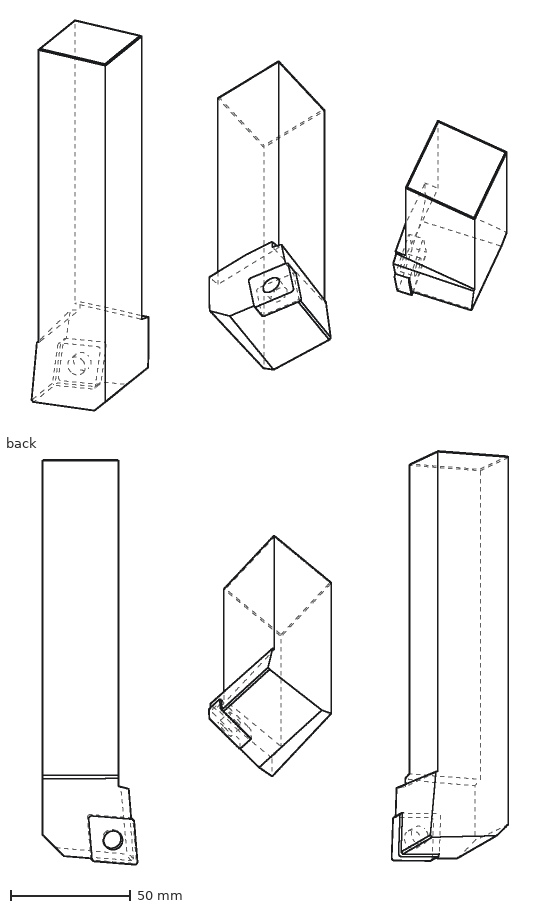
import cadquery as cq
import math

SHANK = 32.0
TOOL_LENGTH = 169.942
END_CHAMFER = 0.5

HEAD_HEIGHT = 38.0
HEAD_RELIEF = 1.15
NOSE_FLAT = 1.2
HEEL_CHAMFER = 12.6
BACK_STEP_Z = 37.6
SIDE_STEP_Z = 33.0
STEP_SLOPE = 15.0

INSCRIBED_CIRCLE = 19.05
INSERT_THICKNESS = 6.35
NOSE_ANGLE = 80.0
NOSE_RADIUS = 1.2
INSERT_HOLE = 7.93
RAKE = 6.0

NOSE_TRIM = NOSE_RADIUS * (math.sqrt(0.5) / math.sin(math.radians(NOSE_ANGLE / 2)) - 1)
INSERT_OVERHANG = 39.932

HALF_ANGLE = math.radians(NOSE_ANGLE / 2)
RAKE_SLOPE = math.tan(math.radians(RAKE))
BEYOND = 100.0

rake_plane = cq.Plane(
    origin=(-INSERT_OVERHANG - NOSE_TRIM, SHANK, -NOSE_TRIM),
    xDir=(1, 2 * RAKE_SLOPE, 1),
    normal=(-RAKE_SLOPE, 1, -RAKE_SLOPE),
)


def box(x_range, y_range, z_range):
    """Axis-aligned block between the given limits."""
    corner = (x_range[0], y_range[0], z_range[0])
    size = [limits[1] - limits[0] for limits in (x_range, y_range, z_range)]
    return cq.Workplane("XY").box(*size, centered=False).translate(corner)


def insert_blank():
    """Rhombic plate with rounded corners, its rake face in the rake plane."""
    side = INSCRIBED_CIRCLE / math.sin(2 * HALF_ANGLE)
    half_long = side * math.cos(HALF_ANGLE)
    half_short = side * math.sin(HALF_ANGLE)
    outline = [(0, 0), (half_long, half_short), (2 * half_long, 0), (half_long, -half_short)]
    plate = cq.Workplane(rake_plane).polyline(outline).close().extrude(-INSERT_THICKNESS)
    corner_edges = cq.selectors.ParallelDirSelector(rake_plane.zDir)
    return plate.edges(corner_edges).fillet(NOSE_RADIUS)


def make_insert():
    half_long = INSCRIBED_CIRCLE / 2 / math.sin(HALF_ANGLE)
    hole = (
        cq.Workplane(rake_plane)
        .center(half_long, 0)
        .circle(INSERT_HOLE / 2)
        .extrude(-INSERT_THICKNESS)
    )
    return insert_blank().cut(hole)


def clearance_wedge():
    """Space under the rake plane and inside the two clearance walls of the head."""
    apex = HEAD_RELIEF / math.sin(HALF_ANGLE)
    spread = BEYOND * math.tan(HALF_ANGLE)
    flat_x = apex + NOSE_FLAT / 2 / math.tan(HALF_ANGLE)
    outline = [
        (flat_x, NOSE_FLAT / 2),
        (apex + BEYOND, spread),
        (apex + BEYOND, -spread),
        (flat_x, -NOSE_FLAT / 2),
    ]
    return cq.Workplane(rake_plane).polyline(outline).close().extrude(-BEYOND)


def head_core():
    """Head below the shank's width, with the sloped step behind the shank."""
    back_drop = (HEAD_HEIGHT - SHANK) * math.tan(math.radians(STEP_SLOPE))
    outline = [
        (0, -NOSE_TRIM),
        (HEAD_HEIGHT, -NOSE_TRIM),
        (HEAD_HEIGHT, BACK_STEP_Z - back_drop),
        (SHANK, BACK_STEP_Z),
        (0, BACK_STEP_Z),
    ]
    return cq.Workplane("YZ").polyline(outline).close().extrude(-SHANK)


def head_side():
    """Part of the head that stands out past the shank's -X face."""
    block = box((-BEYOND, -SHANK), (0, HEAD_HEIGHT), (-NOSE_TRIM, BACK_STEP_Z))
    step_plane = cq.Plane(
        origin=(-SHANK, 0, SIDE_STEP_Z),
        xDir=(0, 1, 0),
        normal=(-math.tan(math.radians(STEP_SLOPE)), 0, 1),
    )
    above_step = cq.Workplane(step_plane).rect(3 * BEYOND, 3 * BEYOND).extrude(BEYOND)
    return block.cut(above_step)


def heel_cut():
    """45 degree cut across the lower right corner."""
    outline = [(0, HEEL_CHAMFER), (0, -BEYOND), (-HEEL_CHAMFER - BEYOND, -BEYOND)]
    return cq.Workplane("XZ").polyline(outline).close().extrude(-HEAD_HEIGHT)


def make_holder():
    shank = box((-SHANK, 0), (0, SHANK), (BACK_STEP_Z, TOOL_LENGTH))
    shank = shank.faces(">Z").chamfer(END_CHAMFER)
    head = head_core().union(head_side()).intersect(clearance_wedge())
    return shank.union(head).cut(heel_cut()).cut(insert_blank())


holder = make_holder()
insert = make_insert()
result = cq.Compound.makeCompound([holder.val(), insert.val()])